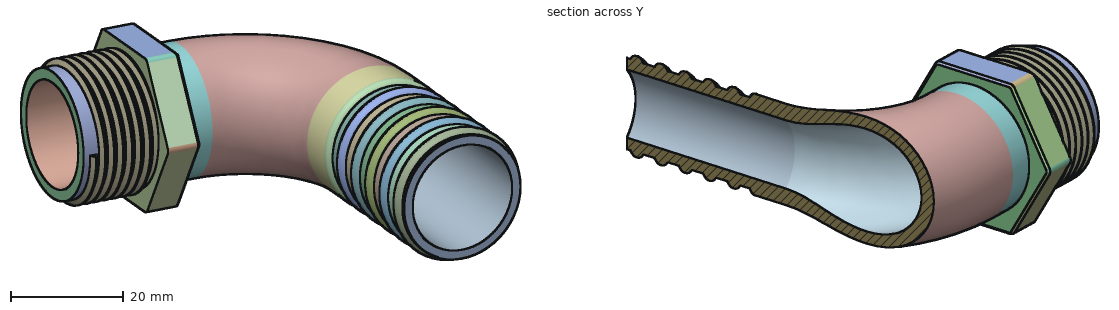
import cadquery as cq
import math

bore_radius = 10.0
tube_radius = 12.5
overall_depth = 63.3
outlet_axis_y = overall_depth - tube_radius
bend_radius = 2 * tube_radius

thread_root_radius = 12.1
thread_crest_radius = 13.3
six_turn_advance = 10.9
thread_pitch = six_turn_advance / 6
thread_start_y = 2.0
thread_base_width = 1.7
thread_crest_width = 0.2
root_overlap = 0.2

hex_across_flats = 29.5
hex_start_y = 14.5
hex_end_y = 21.05
hex_corner_radius = 1.2
hex_rim_chamfer = 0.5

shoulder_x = 31.7
shoulder_length = 1.55
outlet_end_x = 60.8
barb_body_radius = 11.7
barb_count = 5
barb_pitch = 5.4
first_barb_x = 36.8
barb_width = 2.95


def swept_elbow(radius, start_y, end_x):
    """Round bar following the inlet axis, the bend and the outlet axis."""
    bend_start_y = outlet_axis_y - bend_radius
    inlet = cq.Workplane("XZ", origin=(0, start_y, 0)).circle(radius).extrude(start_y - bend_start_y)
    bend = (
        cq.Workplane("XZ", origin=(0, bend_start_y, 0))
        .circle(radius)
        .revolve(90, (bend_radius, 0.8, 0), (bend_radius, 0, 0))
    )
    outlet = (
        cq.Workplane("YZ", origin=(bend_radius, outlet_axis_y, 0))
        .circle(radius)
        .extrude(end_x - bend_radius)
    )
    return inlet.union(bend).union(outlet)


def hex_collar():
    """Hexagon with corners on X, rounded corners and a bevelled inner rim."""
    across_corners = hex_across_flats / math.cos(math.pi / 6)
    return (
        cq.Workplane("XZ", origin=(0, hex_end_y, 0))
        .polygon(6, across_corners)
        .extrude(hex_end_y - hex_start_y)
        .edges("|Y")
        .fillet(hex_corner_radius)
        .faces(">Y")
        .edges()
        .chamfer(hex_rim_chamfer)
    )


def thread_ridge():
    """Right-hand helical ridge that runs out inside the collar."""
    end_y = (hex_start_y + hex_end_y) / 2
    path = cq.Wire.makeHelix(thread_pitch, end_y - thread_start_y, thread_root_radius)
    half_base = thread_base_width / 2
    half_crest = thread_crest_width / 2
    ridge = (
        cq.Workplane("XZ")
        .polyline([
            (thread_root_radius - root_overlap, -half_base),
            (thread_crest_radius, -half_crest),
            (thread_crest_radius, half_crest),
            (thread_root_radius - root_overlap, half_base),
        ])
        .close()
        .sweep(cq.Workplane(path), isFrenet=True)
    )
    return ridge.rotate((0, 0, 0), (1, 0, 0), -90).translate((0, thread_start_y, 0))


def barbed_outlet():
    """Outlet turned about its axis: rounded shoulder, plain wall and round ridges."""
    shoulder_end_x = shoulder_x + shoulder_length
    rise = tube_radius - barb_body_radius
    profile = (
        cq.Workplane("XY", origin=(0, outlet_axis_y, 0))
        .moveTo(shoulder_x, 0)
        .lineTo(shoulder_x, tube_radius)
        .threePointArc(
            (shoulder_x + shoulder_length * math.sin(math.pi / 4),
             barb_body_radius + rise * math.sin(math.pi / 4)),
            (shoulder_end_x, barb_body_radius),
        )
    )
    for index in range(barb_count):
        barb_x = first_barb_x + index * barb_pitch
        profile = profile.lineTo(barb_x - barb_width / 2, barb_body_radius).threePointArc(
            (barb_x, tube_radius),
            (barb_x + barb_width / 2, barb_body_radius),
        )
    profile = profile.lineTo(outlet_end_x, barb_body_radius).lineTo(outlet_end_x, 0).close()
    return profile.revolve(360, (0, 0, 0), (1, 0, 0))


inlet_core = cq.Workplane("XZ").circle(thread_root_radius).extrude(-hex_end_y)
threaded_inlet = inlet_core.union(thread_ridge(), clean=False).union(hex_collar(), clean=False)
outer_body = threaded_inlet.union(swept_elbow(tube_radius, hex_start_y, shoulder_x), clean=False)
outer_body = outer_body.union(barbed_outlet(), clean=False)
result = outer_body.cut(swept_elbow(bore_radius, 0, outlet_end_x), clean=False)